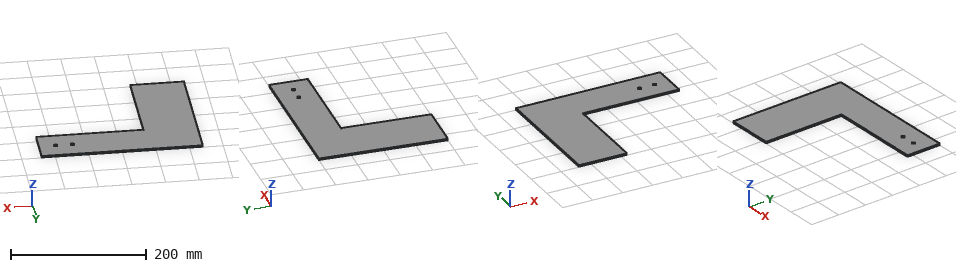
import cadquery as cq

length = 240.0
depth = 200.0
thickness = 3.0

leg_width = length / 3
arm_width = 60.0

hole_diameter = 5.0
hole_spacing = 25.0
end_to_outer_hole = 25.0
outer_hole_x = length - end_to_outer_hole
hole_y = depth - arm_width / 2

plate = (
    cq.Workplane("XY")
    .moveTo(0, 0)
    .lineTo(leg_width, 0)
    .lineTo(leg_width, depth - arm_width)
    .lineTo(length, depth - arm_width)
    .lineTo(length, depth)
    .lineTo(0, depth)
    .close()
    .extrude(thickness)
)

holes = (
    cq.Workplane("XY")
    .pushPoints([(outer_hole_x - hole_spacing, hole_y), (outer_hole_x, hole_y)])
    .circle(hole_diameter / 2)
    .extrude(thickness)
)

result = plate.cut(holes)